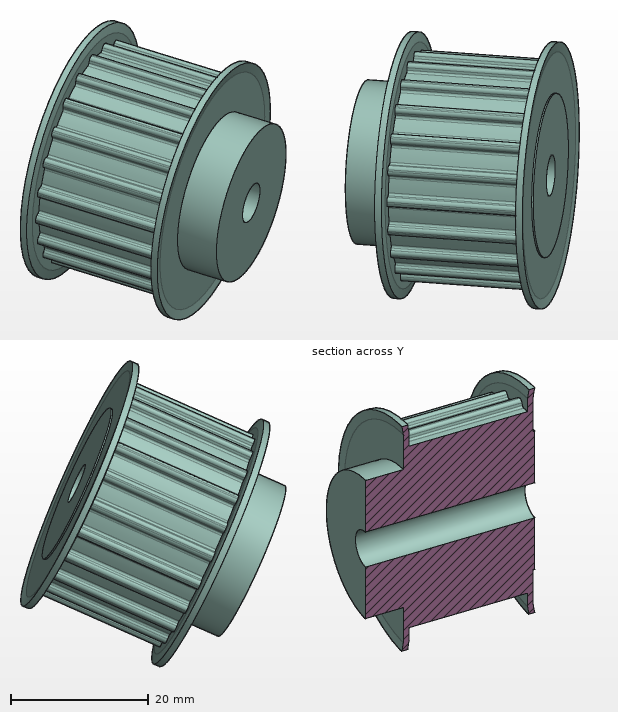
import cadquery as cq
import math

total_length = 28.0
hub_length = 6.0
pulley_length = total_length - hub_length

flange_radius = 19.5
flange_flat_radius = 18.0
sheet_thickness = 1.0
rim_offset = 0.25
flange_depth = sheet_thickness + rim_offset

hub_radius = 12.0
bore_radius = 3.0

tooth_count = 22
tip_radius = 16.9
root_radius = 15.75
tip_flat_half_width = 0.1
tip_rounding = 0.62
base_half_width = 1.17
flank_angle = math.radians(12)

pitch_angle = 2 * math.pi / tooth_count


def arc_point(center, radius, angle):
    """Point on a circle in (sideways, radial) coordinates."""
    return (
        center[0] + radius * math.cos(angle),
        center[1] + radius * math.sin(angle),
    )


def tooth_points():
    """Right half of a tooth as (sideways, radial) points, from tip flat to root."""
    tip_center = (tip_flat_half_width, tip_radius - tip_rounding)
    tip_edge = arc_point(tip_center, tip_rounding, math.pi / 2)
    tip_mid = arc_point(tip_center, tip_rounding, (math.pi / 2 + flank_angle) / 2)
    flank_top = arc_point(tip_center, tip_rounding, flank_angle)

    base_height = math.sqrt(root_radius**2 - base_half_width**2)
    flank_reach = flank_top[0] + (flank_top[1] - base_height) * math.tan(flank_angle)
    fillet_turn = math.pi / 2 - flank_angle
    root_fillet = (base_half_width - flank_reach) / math.tan(fillet_turn / 2)
    fillet_center = (base_half_width, base_height + root_fillet)
    flank_bottom = arc_point(fillet_center, root_fillet, math.pi + flank_angle)
    fillet_mid = arc_point(fillet_center, root_fillet, 1.5 * math.pi - fillet_turn / 2)
    root_edge = (base_half_width, base_height)
    return tip_edge, tip_mid, flank_top, flank_bottom, fillet_mid, root_edge


def turned(point, angle, side=1):
    """Place a tooth point at an angle around the axis, mirrored when side is -1."""
    sideways = side * point[0]
    radial = point[1]
    return (
        sideways * math.cos(angle) - radial * math.sin(angle),
        sideways * math.sin(angle) + radial * math.cos(angle),
    )


def toothed_barrel():
    """Barrel between the flanges, with a tooth gap centred on +Z."""
    tip_edge, tip_mid, flank_top, flank_bottom, fillet_mid, root_edge = tooth_points()
    first_angle = pitch_angle / 2
    gap_middle = (0, root_radius)
    outline = cq.Workplane("YZ", origin=(flange_depth, 0, 0))
    outline = outline.moveTo(*turned(root_edge, first_angle))
    for index in range(tooth_count):
        angle = first_angle + index * pitch_angle
        outline = (
            outline.threePointArc(turned(fillet_mid, angle), turned(flank_bottom, angle))
            .lineTo(*turned(flank_top, angle))
            .threePointArc(turned(tip_mid, angle), turned(tip_edge, angle))
            .lineTo(*turned(tip_edge, angle, -1))
            .threePointArc(turned(tip_mid, angle, -1), turned(flank_top, angle, -1))
            .lineTo(*turned(flank_bottom, angle, -1))
            .threePointArc(turned(fillet_mid, angle, -1), turned(root_edge, angle, -1))
            .threePointArc(
                turned(gap_middle, angle + pitch_angle / 2),
                turned(root_edge, angle + pitch_angle),
            )
        )
    return outline.close().extrude(pulley_length - 2 * flange_depth)


def flange(outer_x, inward):
    """Dished disc with its rim at outer_x; inward is the X direction to the teeth."""
    outline = [
        (rim_offset, 0),
        (rim_offset, flange_flat_radius),
        (0, flange_radius),
        (sheet_thickness, flange_radius),
        (flange_depth, flange_flat_radius),
        (flange_depth, 0),
    ]
    points = [(outer_x + inward * depth, radius) for depth, radius in outline]
    return cq.Workplane("XY").polyline(points).close().revolve(360, (0, 0, 0), (1, 0, 0))


def cylinder(start_x, end_x, radius):
    """Round bar on the X axis."""
    return cq.Workplane("YZ", origin=(start_x, 0, 0)).circle(radius).extrude(end_x - start_x)


core = cylinder(0, total_length, hub_radius)
bore = cylinder(0, total_length, bore_radius)

result = (
    toothed_barrel()
    .union(flange(0, 1))
    .union(flange(pulley_length, -1))
    .union(core)
    .cut(bore)
)